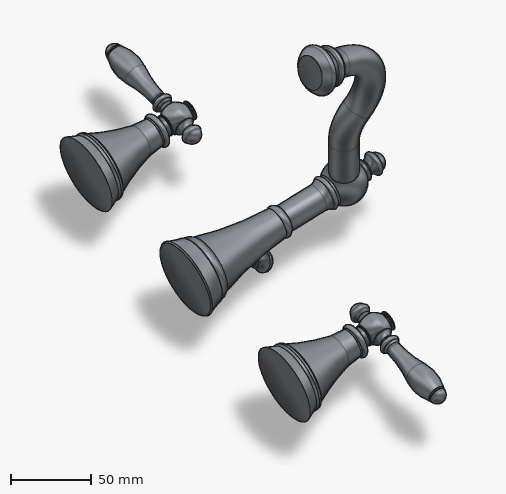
import cadquery as cq
import math

OVERALL_WIDTH = 342.5
HANDLE_OFFSET = 101.7
FOOT_RADIUS = 26.7
BALL_Y = 124.0
BALL_RADIUS = 15.0
FINIAL_RADIUS = 7.5
FINIAL_START_Y = BALL_Y + math.sqrt(BALL_RADIUS**2 - FINIAL_RADIUS**2)
FINIAL_TIP_Y = 155.0
COLUMN_NECK_RADIUS = 9.2
COLLAR_RADIUS = 10.5
COLLAR_END_Y = BALL_Y - math.sqrt(BALL_RADIUS**2 - COLLAR_RADIUS**2)

TUBE_RADIUS = 9.5
LOWER_BEND_Z = 44.5
LOWER_BEND_RADIUS = 34.3
UPPER_BEND_RADIUS = 36.3
LOWER_BEND_ANGLE = 45.0
OUTLET_RISE_ANGLE = 20.0

ROD_TILT = 31.0
ROD_RADIUS = 2.23
KNOB_RADIUS = 7.5
KNOB_Y = 60.3
KNOB_Z = -30.0

LEVER_Y = 71.0
HANDLE_NECK_RADIUS = 6.5
HUB_RADIUS = 10.3
HUB_HALF_HEIGHT = 8.2
HUB_BOTTOM_Y = LEVER_Y - HUB_HALF_HEIGHT
LEVER_ROOT_RADIUS = 7.0
LEVER_LENGTH = OVERALL_WIDTH / 2 - HANDLE_OFFSET


def revolve_profile(outline):
    """Close an outline of (radius, height) back to the Y axis and turn it."""
    return outline.close().revolve(360, (0, 0, 0), (0, 1, 0))


def start_profile(height, radius):
    """Begin an outline on the Y axis with a flat end face."""
    return cq.Workplane("XY").moveTo(0, height).lineTo(radius, height)


def dome(outline, base_height, base_radius, tip_height):
    """Line to the base of a spherical cap, then arc to its tip on the Y axis."""
    rise = tip_height - base_height
    sphere_radius = (base_radius**2 + rise**2) / (2 * abs(rise))
    middle_radius = base_radius / 2
    drop = sphere_radius - math.sqrt(sphere_radius**2 - middle_radius**2)
    middle_height = tip_height - math.copysign(drop, rise)
    return outline.lineTo(base_radius, base_height).threePointArc(
        (middle_radius, middle_height), (0, tip_height)
    )


def make_column_stem():
    outline = (
        start_profile(0, FOOT_RADIUS - 0.7)
        .lineTo(FOOT_RADIUS, 1.0)
        .threePointArc((24.5, 6.0), (23.3, 11.3))
        .lineTo(22.3, 12.0)
        .threePointArc((22.3, 14.5), (21.2, 16.5))
        .lineTo(20.2, 17.8)
        .threePointArc((14.7, 39.0), (10.5, 71.3))
        .threePointArc((11.3, 73.5), (10.3, 75.7))
        .lineTo(COLUMN_NECK_RADIUS, 76.7)
        .lineTo(COLUMN_NECK_RADIUS, 103.5)
        .threePointArc((9.5, 106.0), (COLLAR_RADIUS, 108.3))
        .threePointArc((11.5, 110.0), (COLLAR_RADIUS, 111.7))
        .lineTo(COLLAR_RADIUS, COLLAR_END_Y)
        .lineTo(0, COLLAR_END_Y)
    )
    return revolve_profile(outline)


def make_ball():
    return cq.Workplane("XY").sphere(BALL_RADIUS).translate((0, BALL_Y, 0))


def make_finial():
    root_y = FINIAL_START_Y - 1.7
    step_radius = 6.5
    outline = (
        start_profile(root_y, step_radius)
        .lineTo(FINIAL_RADIUS, FINIAL_START_Y)
        .lineTo(FINIAL_RADIUS, 139.8)
        .lineTo(step_radius, 140.5)
        .lineTo(5.0, 141.8)
        .threePointArc((5.8, 144.2), (7.5, 146.0))
        .threePointArc((8.2, 147.3), (7.5, 148.7))
    )
    return revolve_profile(dome(outline, 149.7, step_radius, FINIAL_TIP_Y))


def make_outlet():
    """Outlet fitting, from the tube end at height 0 to the flat face."""
    face_height = 24.5
    face_radius = 11.3
    outline = (
        start_profile(0, TUBE_RADIUS)
        .lineTo(TUBE_RADIUS, 4.8)
        .lineTo(11.3, 5.5)
        .lineTo(12.5, 7.0)
        .threePointArc((13.5, 8.2), (12.7, 10.0))
        .lineTo(11.5, 11.0)
        .threePointArc((12.5, 14.0), (14.0, 16.8))
        .lineTo(15.8, 16.8)
        .threePointArc((16.5, 18.5), (15.8, 20.2))
        .threePointArc((14.0, 22.5), (face_radius, face_height))
        .lineTo(0, face_height)
    )
    return revolve_profile(outline)


def make_gooseneck():
    """Tube from the ball through two opposite bends, with the outlet on its end."""
    start_z = math.sqrt(BALL_RADIUS**2 - TUBE_RADIUS**2)
    lean = math.radians(LOWER_BEND_ANGLE)
    rise = math.radians(OUTLET_RISE_ANGLE)
    lower_centre_y = BALL_Y + LOWER_BEND_RADIUS
    joint_y = lower_centre_y - LOWER_BEND_RADIUS * math.cos(lean)
    joint_z = LOWER_BEND_Z + LOWER_BEND_RADIUS * math.sin(lean)
    upper_centre_y = joint_y - UPPER_BEND_RADIUS * math.cos(lean)
    upper_centre_z = joint_z + UPPER_BEND_RADIUS * math.sin(lean)
    end_y = upper_centre_y + UPPER_BEND_RADIUS * math.sin(rise)
    end_z = upper_centre_z + UPPER_BEND_RADIUS * math.cos(rise)
    path = (
        cq.Workplane("YZ")
        .moveTo(BALL_Y, start_z)
        .lineTo(BALL_Y, LOWER_BEND_Z)
        .threePointArc(
            (
                lower_centre_y - LOWER_BEND_RADIUS * math.cos(lean / 2),
                LOWER_BEND_Z + LOWER_BEND_RADIUS * math.sin(lean / 2),
            ),
            (joint_y, joint_z),
        )
        .threePointArc((upper_centre_y + UPPER_BEND_RADIUS, upper_centre_z), (end_y, end_z))
    )
    tube = (
        cq.Workplane("XY", origin=(0, BALL_Y, start_z))
        .circle(TUBE_RADIUS)
        .sweep(path)
    )
    outlet = make_outlet().rotate((0, 0, 0), (1, 0, 0), 180 - OUTLET_RISE_ANGLE)
    return tube.union(outlet.translate((0, end_y, end_z)))


def make_lift_rod():
    """Knob and straight rod, with the knob dome pointing away from the wall."""
    rod_length = 34.3
    outline = (
        start_profile(-rod_length, ROD_RADIUS)
        .lineTo(ROD_RADIUS, -8.2)
        .lineTo(3.8, -7.5)
        .lineTo(3.8, -5.8)
        .threePointArc((4.8, -2.7), (KNOB_RADIUS, -1.0))
    )
    rod = revolve_profile(dome(outline, 1.0, KNOB_RADIUS, 5.8)).rotate((0, 0, 0), (1, 0, 0), -ROD_TILT)
    return rod.translate((0, KNOB_Y, KNOB_Z))


def make_handle_base():
    """Flared foot and neck, with a thin lip just below the hub ball."""
    lip_y = 61.5
    lip_radius = HANDLE_NECK_RADIUS + 0.7
    outline = (
        start_profile(0, FOOT_RADIUS)
        .threePointArc((25.0, 4.0), (23.5, 7.2))
        .lineTo(24.0, 9.2)
        .lineTo(23.5, 11.0)
        .lineTo(22.3, 12.0)
        .threePointArc((15.5, 27.7), (11.0, 42.5))
        .lineTo(10.0, 52.5)
        .lineTo(10.3, 53.5)
        .threePointArc((11.5, 55.0), (10.5, 57.2))
        .lineTo(HANDLE_NECK_RADIUS, 57.2)
        .lineTo(HANDLE_NECK_RADIUS, lip_y)
        .lineTo(lip_radius, lip_y)
        .lineTo(lip_radius, HUB_BOTTOM_Y)
        .lineTo(HANDLE_NECK_RADIUS, HUB_BOTTOM_Y)
        .lineTo(HANDLE_NECK_RADIUS, LEVER_Y)
        .lineTo(0, LEVER_Y)
    )
    return revolve_profile(outline)


def make_hub():
    ball = cq.Workplane("XY").sphere(HUB_RADIUS)
    slice_between_flats = cq.Workplane("XZ").circle(2 * HUB_RADIUS).extrude(HUB_HALF_HEIGHT, both=True)
    ball = ball.intersect(slice_between_flats)
    groove_radius = 5.0
    cap = (
        start_profile(0, groove_radius)
        .lineTo(groove_radius, 9.5)
        .lineTo(HANDLE_NECK_RADIUS, 10.0)
    )
    cap = dome(cap, 10.5, HANDLE_NECK_RADIUS, 11.3)
    return ball.union(revolve_profile(cap)).translate((0, LEVER_Y, 0))


def make_lever():
    """Lever along Y: grip on the +Y side, button on the -Y side."""
    grip = (
        start_profile(0, LEVER_ROOT_RADIUS)
        .lineTo(LEVER_ROOT_RADIUS, 8.0)
        .threePointArc((5.0, 9.5), (4.5, 11.5))
        .lineTo(5.8, 13.5)
        .threePointArc((7.0, 15.0), (5.8, 16.8))
        .lineTo(4.8, 18.5)
        .lineTo(4.8, 20.0)
        .threePointArc((5.5, 31.0), (8.0, 42.5))
        .threePointArc((9.0, 51.5), (6.0, 63.0))
        .lineTo(5.5, 63.7)
        .lineTo(5.8, 64.5)
    )
    button = (
        start_profile(0, LEVER_ROOT_RADIUS)
        .lineTo(LEVER_ROOT_RADIUS, -8.0)
        .threePointArc((5.0, -9.5), (4.5, -11.5))
        .lineTo(5.8, -13.5)
        .threePointArc((7.0, -15.0), (6.0, -16.8))
    )
    grip = dome(grip, 65.5, 5.5, LEVER_LENGTH)
    button = dome(button, -17.5, 5.8, -21.5)
    return revolve_profile(grip).union(revolve_profile(button))


def make_handle(side):
    lever = make_lever().rotate((0, 0, 0), (0, 0, 1), -90 * side)
    handle = make_handle_base().union(make_hub()).union(lever.translate((0, LEVER_Y, 0)))
    return handle.translate((side * HANDLE_OFFSET, 0, 0))


column_stem = make_column_stem()
spout = column_stem.union(make_ball()).union(make_finial()).union(make_gooseneck())
lift_rod = make_lift_rod().cut(column_stem)
handles = [make_handle(side) for side in (-1, 1)]

result = cq.Compound.makeCompound([spout.val(), lift_rod.val(), *[handle.val() for handle in handles]])